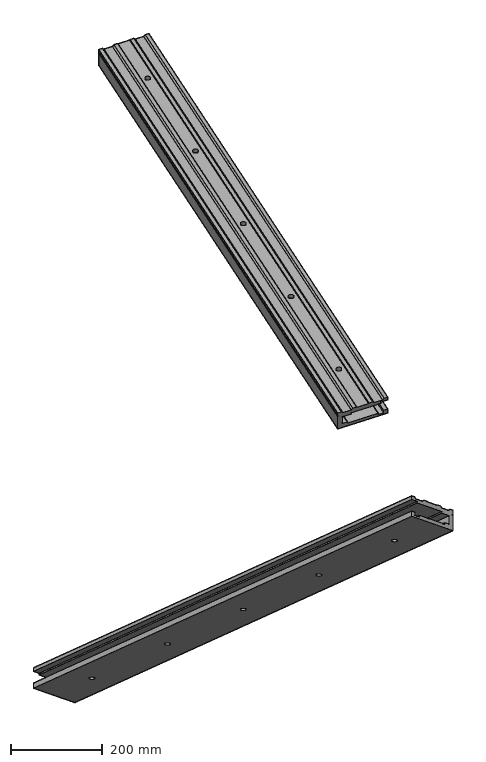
import cadquery as cq

length = 1250.0
width = 120.0
height = 49.0

wall = 11.0

groove_center = 38.0
groove_width = 28.0
groove_depth = 4.0
groove_slope = 4.0
recess_width = 30.0
recess_depth = 1.0
recess_slope = 1.0

top_flange = 12.0
top_lip = 9.0
top_lip_length = 16.0
top_root = 16.0
top_root_length = 21.0

bottom_flange = 9.0
bottom_lip = 5.0
bottom_lip_length = 22.0
bottom_root = 12.0
bottom_root_length = 12.0
hook_height = 12.0
hook_width = 10.0

score_depth = 1.0
score_width = 1.0
score_drop = 10.0

hole_count = 5
hole_diameter = 12.0
hole_pitch = length / hole_count

side = width / 2
top = height / 2
inner_wall = -side + wall


def extrude_along_x(points):
    """Extrude a closed YZ outline over the full length, centred on X."""
    return cq.Workplane("YZ").polyline(points).close().extrude(length / 2, both=True)


def channel_body():
    """C-shaped section, open toward +Y."""
    return extrude_along_x([
        (-side, -top),
        (side, -top),
        (side, -top + hook_height),
        (side - hook_width, -top + hook_height),
        (side - hook_width, -top + bottom_lip),
        (side - bottom_lip_length, -top + bottom_lip),
        (side - bottom_lip_length, -top + bottom_flange),
        (inner_wall + bottom_root_length, -top + bottom_flange),
        (inner_wall + bottom_root_length, -top + bottom_root),
        (inner_wall, -top + bottom_root),
        (inner_wall, top - top_root),
        (inner_wall + top_root_length, top - top_root),
        (inner_wall + top_root_length, top - top_flange),
        (side - top_lip_length, top - top_flange),
        (side - top_lip_length, top - top_lip),
        (side, top - top_lip),
        (side, top),
        (-side, top),
    ])


def top_channel(center, mouth_width, depth, slope):
    """Cutter for a channel in the top face; each wall runs inward by slope."""
    half_mouth = mouth_width / 2
    half_floor = half_mouth - slope
    return extrude_along_x([
        (center - half_mouth, top),
        (center - half_floor, top - depth),
        (center + half_floor, top - depth),
        (center + half_mouth, top),
    ])


def score_line():
    """Cutter for the fine score line in the -Y face."""
    upper = top - score_drop
    lower = upper - score_width
    floor = -side + score_depth
    return extrude_along_x([(-side, upper), (floor, upper), (floor, lower), (-side, lower)])


def mounting_holes():
    """Cutters for the evenly spaced vertical holes on the centre line."""
    return (
        cq.Workplane("XY", origin=(0, 0, -top))
        .rarray(hole_pitch, 12, hole_count, 1)
        .circle(hole_diameter / 2)
        .extrude(height)
    )


result = channel_body()
for groove_y in (-groove_center, groove_center):
    result = result.cut(top_channel(groove_y, groove_width, groove_depth, groove_slope))
result = result.cut(top_channel(0, recess_width, recess_depth, recess_slope))
result = result.cut(score_line())
result = result.cut(mounting_holes())